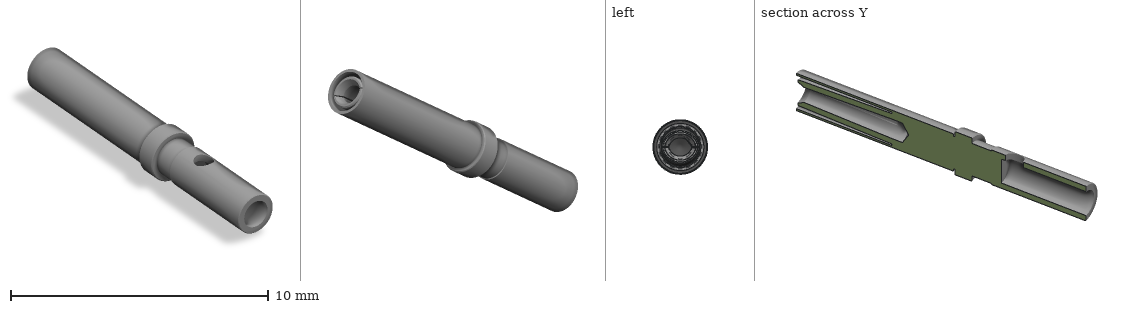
import cadquery as cq
import math


overall_length = 13.41

hood_diameter = 1.83
hood_bore_diameter = 1.6
hood_end_x = 7.28

collar_diameter = 2.12
collar_start_x = 7.32
collar_end_x = 8.14
collar_chamfer = 0.035

core_diameter = hood_bore_diameter
core_start_x = 4.4

barrel_diameter = 1.7
barrel_start_x = 9.02
barrel_chamfer = 0.03
crimp_bore_diameter = 1.14
crimp_bore_end_x = 9.5
inspection_hole_diameter = 0.8
inspection_hole_x = 10.09

tine_tip_x = 0.07
tine_outer_diameter = 1.5
tine_tip_chamfer = 0.05
pin_bore_diameter = 0.92
lead_in_diameter = 1.25
lead_in_depth = 0.3
tine_inward_shift = 0.113
tip_gap = 0.04
tine_root_overlap = 0.1

pin_bore_end_x = 4.9
drill_point_angle = 118.0


def cylinder(start_x, end_x, diameter):
    """Solid cylinder about the X axis."""
    return cq.Workplane("YZ").workplane(offset=start_x).circle(diameter / 2).extrude(end_x - start_x)


def make_hood():
    return cylinder(0, hood_end_x, hood_diameter).cut(cylinder(0, hood_end_x, hood_bore_diameter))


def make_collar():
    return cylinder(collar_start_x, collar_end_x, collar_diameter).edges().chamfer(collar_chamfer)


def make_crimp_barrel():
    barrel = cylinder(barrel_start_x, overall_length, barrel_diameter)
    return barrel.faces(">X").edges().chamfer(barrel_chamfer)


def make_tine(side):
    """Half tube above (side = 1) or below (side = -1) the slot, tilted about its root towards the axis."""
    outer_radius = tine_outer_diameter / 2
    bore_radius = pin_bore_diameter / 2
    tine_end_x = core_start_x + tine_root_overlap
    tube = (
        cq.Workplane("XY")
        .moveTo(tine_tip_x, lead_in_diameter / 2)
        .lineTo(tine_tip_x, outer_radius - tine_tip_chamfer)
        .lineTo(tine_tip_x + tine_tip_chamfer, outer_radius)
        .lineTo(tine_end_x, outer_radius)
        .lineTo(tine_end_x, bore_radius)
        .lineTo(tine_tip_x + lead_in_depth, bore_radius)
        .close()
        .revolve(360, (0, 0, 0), (1, 0, 0))
    )
    slot_half_width = tip_gap / 2 + tine_inward_shift
    half_space = cq.Workplane("XY").box(
        overall_length, collar_diameter, collar_diameter, centered=(False, True, False)
    )
    half_space = half_space.translate((0, 0, slot_half_width))
    if side < 0:
        half_space = half_space.mirror("XY")
    tilt = math.degrees(math.asin(tine_inward_shift / (core_start_x - tine_tip_x)))
    root = (core_start_x, 0, 0)
    root_axis_end = (core_start_x, 1, 0)
    return tube.intersect(half_space).rotate(root, root_axis_end, -side * tilt)


def make_pin_bore_end():
    """Straight bore in the core, closed by a drill point."""
    bore_radius = pin_bore_diameter / 2
    point_depth = bore_radius / math.tan(math.radians(drill_point_angle / 2))
    return (
        cq.Workplane("XY")
        .moveTo(core_start_x, 0)
        .lineTo(core_start_x, bore_radius)
        .lineTo(pin_bore_end_x, bore_radius)
        .lineTo(pin_bore_end_x + point_depth, 0)
        .close()
        .revolve(360, (0, 0, 0), (1, 0, 0))
    )


def make_inspection_hole():
    """Radial hole from the top of the barrel into the crimp bore."""
    return (
        cq.Workplane("XY")
        .center(inspection_hole_x, 0)
        .circle(inspection_hole_diameter / 2)
        .extrude(barrel_diameter)
    )


result = cylinder(core_start_x, barrel_start_x, core_diameter)
result = result.cut(make_pin_bore_end())
result = result.union(make_hood())
result = result.union(make_collar())
result = result.union(make_crimp_barrel())
for tine_side in (1, -1):
    result = result.union(make_tine(tine_side))
result = result.cut(cylinder(crimp_bore_end_x, overall_length, crimp_bore_diameter))
result = result.cut(make_inspection_hole())